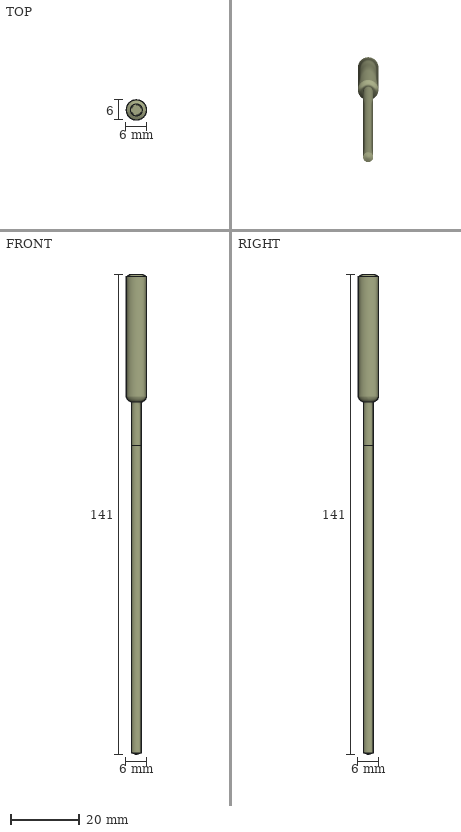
import cadquery as cq
import math

total_length = 141.0

shank_diameter = 6.0
shank_length = 36.0
back_face_diameter = 3.5
back_chamfer_height = 0.7
shoulder_length = 1.5
shoulder_arc_radius = 2.0

drill_diameter = 2.97
drill_length = 90.7
cutting_length = 24.5
point_angle = 140.0

shank_radius = shank_diameter / 2
drill_radius = drill_diameter / 2
back_face_radius = back_face_diameter / 2
back_chamfer_z = total_length - back_chamfer_height
shoulder_top_z = total_length - shank_length
shoulder_bottom_z = shoulder_top_z - shoulder_length
point_height = drill_radius / math.tan(math.radians(point_angle / 2))


def revolve_about_z(half_profile):
    """Close a half profile drawn in (radius, z) and turn it about the Z axis.

    Cleaning is off so that flush zones of one diameter keep the line between them.
    """
    return half_profile.close().revolve(360, (0, 0, 0), (0, 1, 0), clean=False)


def make_shank():
    """Chamfered shank with a rounded shoulder and the neck that carries the drill."""
    half_profile = (
        cq.Workplane("XZ")
        .moveTo(0, drill_length)
        .lineTo(drill_radius, drill_length)
        .lineTo(drill_radius, shoulder_bottom_z)
        .radiusArc((shank_radius, shoulder_top_z), -shoulder_arc_radius)
        .lineTo(shank_radius, back_chamfer_z)
        .lineTo(back_face_radius, total_length)
        .lineTo(0, total_length)
    )
    return revolve_about_z(half_profile)


def make_drill():
    """Drilling part: conical point, cutting zone and plain body, flush with each other."""
    half_profile = (
        cq.Workplane("XZ")
        .moveTo(0, 0)
        .lineTo(drill_radius, point_height)
        .lineTo(drill_radius, cutting_length)
        .lineTo(drill_radius, drill_length)
        .lineTo(0, drill_length)
    )
    return revolve_about_z(half_profile)


shank = make_shank()
drill = make_drill()

result = cq.Compound.makeCompound([shank.val(), drill.val()])